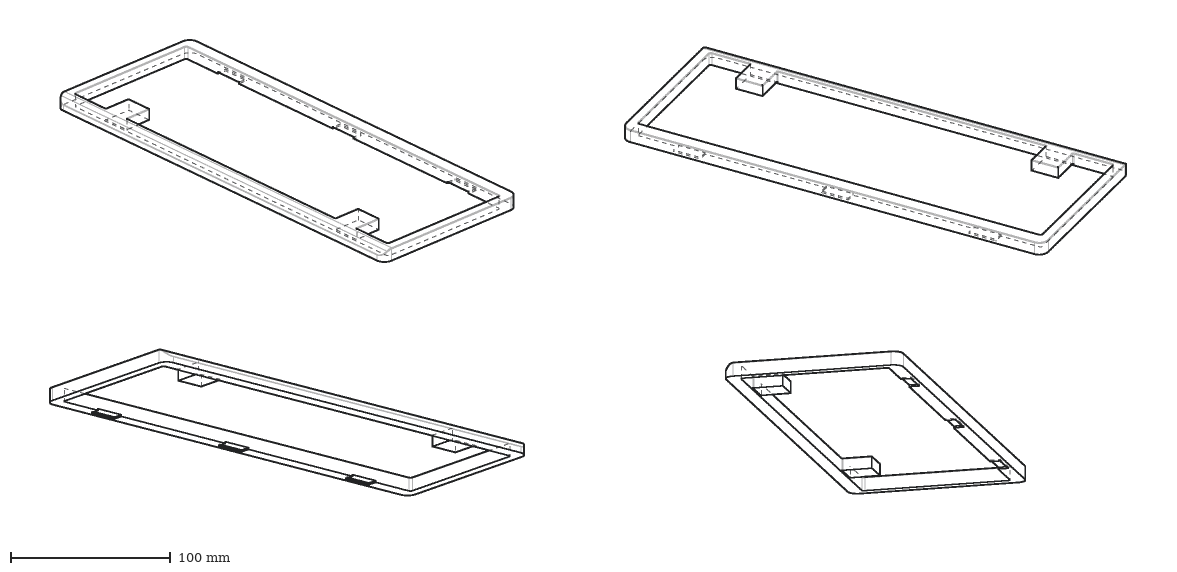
import cadquery as cq
LENGTH = 299.4
WIDTH = 115.25
HEIGHT = 9.0
CORNER_RADIUS = 6.35
RIM_RADIUS = 0.5

SIDE_RAIL = 6.5
BACK_RAIL = 9.5
FRONT_RAIL = 9.46
OPENING_RADIUS = 1.5

TAB_WIDTH = 19.0
TAB_LENGTH = 19.55
TAB_OFFSET = 104.85
TAB_ROOT_RADIUS = 0.5

RECESS_DEPTH = 1.1
RECESS_LENGTH = 6.5

FRONT_FACE_HEIGHT = 4.235
BLEND_RADIUS = 4.85

FRONT_Y = -WIDTH / 2
OPENING_FRONT_Y = FRONT_Y + FRONT_RAIL
OPENING_BACK_Y = WIDTH / 2 - BACK_RAIL
BEVEL_SIZE = HEIGHT - FRONT_FACE_HEIGHT
TAB_CENTERS = (-TAB_OFFSET, TAB_OFFSET)
RECESS_CENTERS = (-TAB_OFFSET, 0, TAB_OFFSET)


def box_at(center_x, front_y, length, width, height):
    """Box on the ground plane, centred on center_x and reaching back from front_y."""
    base = cq.Workplane("XY", origin=(center_x, front_y, 0))
    return base.box(length, width, height, centered=(True, False, False))


def nearest(x, y, z):
    return cq.selectors.NearestToPointSelector((x, y, z))


def make_outer_block():
    """Solid slab with round corners, a blended front bevel and a rounded upper rim."""
    block = box_at(0, FRONT_Y, LENGTH, WIDTH, HEIGHT).edges("|Z").fillet(CORNER_RADIUS)
    bevel_top_y = FRONT_Y + BEVEL_SIZE
    bevel = (
        cq.Workplane("YZ", origin=(-LENGTH / 2, 0, 0))
        .polyline([(FRONT_Y, FRONT_FACE_HEIGHT), (bevel_top_y, HEIGHT), (FRONT_Y, HEIGHT)])
        .close()
        .extrude(LENGTH)
    )
    block = block.cut(bevel)
    block = block.edges(nearest(0, bevel_top_y, HEIGHT)).fillet(BLEND_RADIUS)
    return block.edges(nearest(0, WIDTH / 2, HEIGHT)).fillet(RIM_RADIUS)


def make_opening():
    """Solid that fills the opening, notched around the tabs."""
    opening_width = OPENING_BACK_Y - OPENING_FRONT_Y
    opening = box_at(0, OPENING_FRONT_Y, LENGTH - 2 * SIDE_RAIL, opening_width, HEIGHT)
    opening = opening.edges("|Z").fillet(OPENING_RADIUS)
    for center_x in TAB_CENTERS:
        opening = opening.cut(box_at(center_x, OPENING_FRONT_Y, TAB_WIDTH, TAB_LENGTH, HEIGHT))
        for side_x in (center_x - TAB_WIDTH / 2, center_x + TAB_WIDTH / 2):
            root = nearest(side_x, OPENING_FRONT_Y, HEIGHT / 2)
            opening = opening.edges(root).fillet(TAB_ROOT_RADIUS)
    return opening


def round_opening_rim(frame):
    """Round the upper edges of the opening and the tabs."""
    top_face = frame.faces(">Z").val()
    return frame.newObject(top_face.innerWires()).fillet(RIM_RADIUS)


def cut_recesses(frame):
    tab_cut_width = TAB_WIDTH + 2 * TAB_ROOT_RADIUS
    for center_x in TAB_CENTERS:
        frame = frame.cut(box_at(center_x, OPENING_FRONT_Y, tab_cut_width, TAB_LENGTH, RECESS_DEPTH))
    for center_x in RECESS_CENTERS:
        frame = frame.cut(box_at(center_x, OPENING_BACK_Y, TAB_WIDTH, RECESS_LENGTH, RECESS_DEPTH))
    return frame


frame = make_outer_block().cut(make_opening())
result = cut_recesses(round_opening_rim(frame)).solids()